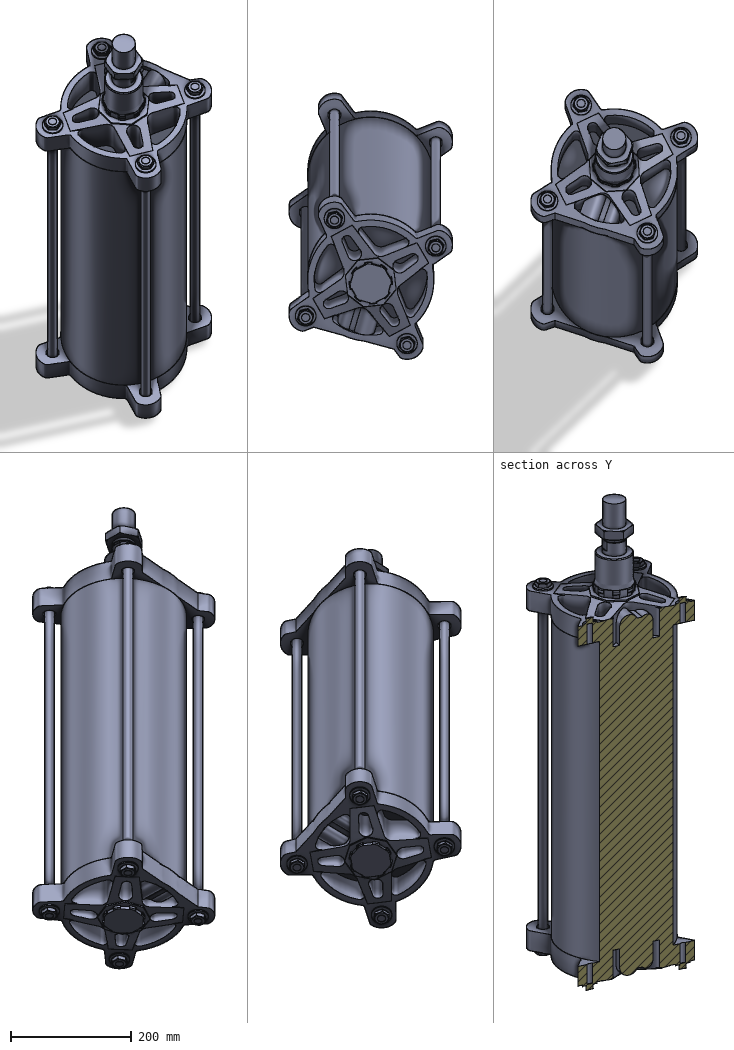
import cadquery as cq
import math


MIDDLE_Z = 346.0
INNER_FACE = 293.0
OUTER_FACE = 329.0

DISC_DIAMETER = 210.0
DISC_RADIUS = DISC_DIAMETER / 2
BARREL_DIAMETER = 209.0
PORT_FLAT_Y = 103.0

OVERALL_WIDTH = 230
LUG_DIAMETER = 55.5
LUG_RADIUS = LUG_DIAMETER / 2
TIE_OFFSET = OVERALL_WIDTH / 2 - LUG_RADIUS
LUG_TIP_WIDTH = 43.5
LUG_TIP_HALF_WIDTH = LUG_TIP_WIDTH / 2
LUG_ROOT_HALF_WIDTH = 26.5
LUG_TIP_FILLET = 10.0
LUG_ROOT_FILLET = 4.0
TIE_ROD_DIAMETER = 16.0
TIE_HOLE_DIAMETER = 21.0
TIE_WASHER_DIAMETER = 34.0
TIE_WASHER_THICKNESS = 2.5
TIE_NUT_ACROSS_FLATS = 24.0
TIE_NUT_TOP = 340.0
TIE_NUT_CHAMFER = 2.5
TIE_TIP_DIAMETER = 14.0
TIE_TIP_HEIGHT = 1.0

ARM_REACH = 99.0
CONE_RADIUS = 101.5
PLINTH_SIDES = 8
PLINTH_ACROSS_FLATS = 81.0
CONE_TOP = 338.0
PLINTH_TOP = 340.0
POCKET_APEX = 43.0
POCKET_HALF_ANGLE = math.radians(53.4)
POCKET_APEX_FILLET = 15.0
POCKET_CORNER_FILLET = 8.0
POCKET_RADIUS = 94.0
POCKET_DEPTH = 51.0
SLOT_INNER_DISTANCE = 55.5
SLOT_INNER_WIDTH = 23.0
SLOT_INNER_RADIUS = SLOT_INNER_WIDTH / 2
SLOT_OUTER_DISTANCE = 80.0
SLOT_OUTER_RADIUS = 8.5

PORT_DIAMETER = 36.0
PORT_X = 14.0
CUSHION_DIAMETER = 24.0
CUSHION_X = -20.0
BOSS_AXIS = 312.0
BOSS_WEB_RISE = 8.5

COLLAR_DIAMETER = 72.0
COLLAR_HEIGHT_TOP = 355.0
COLLAR_HEIGHT_BOTTOM = MIDDLE_Z
COLLAR_THICKNESS = 8.0
COLLAR_NECK_DIAMETER = 68.0
COLLAR_CHAMFER = 2.0
NOTCH_COUNT = 8
NOTCH_WIDTH = 15.0
NOTCH_DEPTH = 3.0

GUIDE_DIAMETER = 64.0
GUIDE_FOOT_DIAMETER = 68.0
GUIDE_FOOT_Z = MIDDLE_Z + COLLAR_HEIGHT_TOP
GUIDE_FOOT_HEIGHT = 8.0
GUIDE_TOP_Z = 757.5
GUIDE_CHAMFER = 2.0

ROD_DIAMETER = 40.0
THREAD_DIAMETER = 38.0
ROD_SEAT_Z = MIDDLE_Z + INNER_FACE
ROD_TOP_Z = 853
ROD_GROOVE_DIAMETER = 36.0
ROD_GROOVE_BOTTOM_Z = 781.0
ROD_GROOVE_WIDTH = 4.0
ROD_FLATS_WIDTH = 37.0
ROD_FLATS_BOTTOM_Z = 765.0

NUT_ACROSS_FLATS = 55.5
NUT_BOTTOM_Z = 791.0
NUT_TOP_Z = 807.0
NUT_CHAMFER = 2.5

QUARTER_TURNS = (0, 90, 180, 270)
DIAGONALS = (45, 135, 225, 315)
TIE_AXES = [(sx * TIE_OFFSET, sy * TIE_OFFSET, 0) for sx in (-1, 1) for sy in (-1, 1)]


def turned(shape, angle):
    return shape.rotate((0, 0, 0), (0, 0, 1), angle)


def cylinder(diameter, bottom, top):
    return cq.Workplane("XY").workplane(offset=bottom).circle(diameter / 2).extrude(top - bottom)


def hexagon(across_flats, bottom, top, chamfer):
    """Hexagonal prism with two flats facing X and its corners turned off at both ends."""
    corner_diameter = across_flats / math.cos(math.pi / 6)
    prism = (
        cq.Workplane("XY").workplane(offset=bottom)
        .polygon(6, corner_diameter).extrude(top - bottom)
    )
    round_bar = cylinder(corner_diameter, bottom, top).faces("<Z or >Z").chamfer(chamfer / 2, chamfer)
    return turned(prism, 30).intersect(round_bar)


def lug():
    """Lug along +X: a round end between two straight sides that spread towards the disc."""
    centre = TIE_OFFSET * math.sqrt(2)
    tip = centre + math.sqrt(LUG_RADIUS**2 - LUG_TIP_HALF_WIDTH**2)
    root = math.sqrt(DISC_RADIUS**2 - LUG_ROOT_HALF_WIDTH**2)
    return (
        cq.Workplane("XY").workplane(offset=INNER_FACE)
        .lineTo(root, -LUG_ROOT_HALF_WIDTH).lineTo(tip, -LUG_TIP_HALF_WIDTH)
        .threePointArc((centre + LUG_RADIUS, 0), (tip, LUG_TIP_HALF_WIDTH))
        .lineTo(root, LUG_ROOT_HALF_WIDTH).close()
        .extrude(OUTER_FACE - INNER_FACE)
        .edges("|Z").edges(">X").fillet(LUG_TIP_FILLET)
    )


def lugged_disc():
    """Disc with a lug on each diagonal and a wall that carries the port flat."""
    height = OUTER_FACE - INNER_FACE
    disc = cylinder(DISC_DIAMETER, INNER_FACE, OUTER_FACE)
    for angle in DIAGONALS:
        disc = disc.union(turned(lug(), angle))
    half_angle = math.asin(LUG_ROOT_HALF_WIDTH / DISC_RADIUS)
    for angle in DIAGONALS:
        for side in (-1, 1):
            direction = math.radians(angle) + side * half_angle
            root = (
                DISC_RADIUS * math.cos(direction),
                DISC_RADIUS * math.sin(direction),
                INNER_FACE + height / 2,
            )
            disc = disc.edges(cq.NearestToPointSelector(root)).fillet(LUG_ROOT_FILLET)
    wall = (
        cq.Workplane("XY").workplane(offset=INNER_FACE)
        .center(0, PORT_FLAT_Y / 2).rect(2 * TIE_OFFSET, PORT_FLAT_Y).extrude(height)
    )
    return disc.union(wall)


def pocket_wedge(bottom, top):
    """Wedge opening towards +Y between two arms, with a rounded apex."""
    reach = DISC_DIAMETER
    half_width = (reach - POCKET_APEX) * math.tan(POCKET_HALF_ANGLE)
    return (
        cq.Workplane("XY").workplane(offset=bottom)
        .polyline([(0, POCKET_APEX), (half_width, reach), (-half_width, reach)]).close()
        .extrude(top - bottom)
        .edges("|Z").edges("<Y").fillet(POCKET_APEX_FILLET)
    )


def pocket(bottom, top):
    rim = cylinder(2 * POCKET_RADIUS, bottom, top)
    return (
        pocket_wedge(bottom, top).intersect(rim)
        .edges("|Z").edges("<X or >X").fillet(POCKET_CORNER_FILLET)
    )


def arm_slot(bottom, top):
    """Slot along +X narrowing outwards, with a round at each end."""
    length = SLOT_OUTER_DISTANCE - SLOT_INNER_DISTANCE
    sine = (SLOT_INNER_RADIUS - SLOT_OUTER_RADIUS) / length
    cosine = math.sqrt(1 - sine**2)
    inner = (SLOT_INNER_DISTANCE + SLOT_INNER_RADIUS * sine, SLOT_INNER_RADIUS * cosine)
    outer = (SLOT_OUTER_DISTANCE + SLOT_OUTER_RADIUS * sine, SLOT_OUTER_RADIUS * cosine)
    return (
        cq.Workplane("XY").workplane(offset=bottom)
        .moveTo(*inner).lineTo(*outer)
        .threePointArc((SLOT_OUTER_DISTANCE + SLOT_OUTER_RADIUS, 0), (outer[0], -outer[1]))
        .lineTo(inner[0], -inner[1])
        .threePointArc((SLOT_INNER_DISTANCE - SLOT_INNER_RADIUS, 0), inner)
        .close().extrude(top - bottom)
    )


def arm_cross():
    """Shallow cone trimmed to four diagonal arms that slope down to the disc."""
    cone = (
        cq.Workplane("XZ")
        .polyline([
            (0, INNER_FACE), (CONE_RADIUS, INNER_FACE), (CONE_RADIUS, OUTER_FACE),
            (PLINTH_ACROSS_FLATS / 2, CONE_TOP), (0, CONE_TOP),
        ]).close()
        .revolve(360, (0, 0, 0), (0, 1, 0))
    )
    square = (
        cq.Workplane("XY").workplane(offset=INNER_FACE)
        .rect(2 * ARM_REACH, 2 * ARM_REACH).extrude(CONE_TOP - INNER_FACE)
    )
    cross = cone.intersect(turned(square, 45))
    wedge = pocket_wedge(INNER_FACE, CONE_TOP)
    for angle in QUARTER_TURNS:
        cross = cross.cut(turned(wedge, angle))
    return cross


def collar(top):
    """Octagonal plinth and round neck carrying a collar, with radial notches round the edge."""
    shoulder = top - COLLAR_THICKNESS
    ring = cylinder(COLLAR_DIAMETER, shoulder, top).faces(">Z").edges().chamfer(COLLAR_CHAMFER)
    ring = ring.union(cylinder(COLLAR_NECK_DIAMETER, INNER_FACE, shoulder))
    notch = (
        cq.Workplane("XY").workplane(offset=PLINTH_TOP)
        .center(COLLAR_DIAMETER / 2, 0).rect(2 * NOTCH_DEPTH, NOTCH_WIDTH).extrude(top - PLINTH_TOP)
    )
    for index in range(NOTCH_COUNT):
        ring = ring.cut(turned(notch, index * 360 / NOTCH_COUNT))
    plinth = (
        cq.Workplane("XY").workplane(offset=INNER_FACE)
        .polygon(PLINTH_SIDES, PLINTH_ACROSS_FLATS, circumscribed=True).extrude(PLINTH_TOP - INNER_FACE)
    )
    return turned(plinth, 180 / PLINTH_SIDES).union(ring)


def port_bosses(floor):
    """Port and cushion bosses: rounds along Y on a common foot, joined by a web."""
    bosses = cq.Workplane("XY")
    length = DISC_RADIUS
    for x, diameter in ((PORT_X, PORT_DIAMETER), (CUSHION_X, CUSHION_DIAMETER)):
        boss = cq.Workplane("XZ").center(x, BOSS_AXIS).circle(diameter / 2).extrude(-length)
        bosses = bosses.union(boss)
    left = CUSHION_X - CUSHION_DIAMETER / 2
    right = PORT_X + PORT_DIAMETER / 2
    foot = cq.Workplane("XY").box(
        right - left, length, BOSS_AXIS - floor, centered=False
    ).translate((left, 0, floor))
    web = cq.Workplane("XY").box(
        PORT_X - CUSHION_X, length, BOSS_WEB_RISE, centered=False
    ).translate((CUSHION_X, 0, BOSS_AXIS))
    return bosses.union(foot).union(web)


def end_openings():
    """Pockets, arm slots and tie rod holes of the upper cover."""
    floor = OUTER_FACE - POCKET_DEPTH
    openings = [turned(pocket(floor, CONE_TOP), angle) for angle in QUARTER_TURNS]
    openings += [turned(arm_slot(floor, CONE_TOP), angle) for angle in DIAGONALS]
    tie_hole = cylinder(TIE_HOLE_DIAMETER, INNER_FACE, OUTER_FACE)
    openings += [tie_hole.translate(axis) for axis in TIE_AXES]
    return openings


def end_fittings(collar_top):
    """Bosses and collar of the upper cover, which stand where its openings have been cut."""
    floor = OUTER_FACE - POCKET_DEPTH
    return [port_bosses(floor).intersect(pocket(floor, CONE_TOP)), collar(collar_top)]


def tie_end():
    """Washer, nut and thinner tip at the upper end of a tie rod."""
    seat = OUTER_FACE + TIE_WASHER_THICKNESS
    washer = cylinder(TIE_WASHER_DIAMETER, OUTER_FACE, seat)
    nut = hexagon(TIE_NUT_ACROSS_FLATS, seat, TIE_NUT_TOP, TIE_NUT_CHAMFER)
    tip = cylinder(TIE_TIP_DIAMETER, seat, TIE_NUT_TOP + TIE_TIP_HEIGHT)
    return washer.union(nut).union(tip)


def tie_rod(axis):
    """Tie rod with nutted ends, centred on the middle of the housing."""
    rod = cylinder(TIE_ROD_DIAMETER, -OUTER_FACE, OUTER_FACE)
    end = tie_end()
    return rod.union(end).union(end.mirror("XY")).translate(axis)


def rod_guide():
    """Sleeve on the top collar, with a flared foot."""
    foot_top = GUIDE_FOOT_Z + GUIDE_FOOT_HEIGHT
    foot = (
        cq.Workplane("XY").workplane(offset=GUIDE_FOOT_Z).circle(GUIDE_FOOT_DIAMETER / 2)
        .workplane(offset=GUIDE_FOOT_HEIGHT).circle(GUIDE_DIAMETER / 2).loft()
    )
    sleeve = cylinder(GUIDE_DIAMETER, foot_top, GUIDE_TOP_Z)
    return foot.union(sleeve.faces(">Z").edges().chamfer(GUIDE_CHAMFER))


def make_housing():
    """Barrel with mirrored end covers, four tie rods and the bored rod guide, as one solid."""
    body = cylinder(BARREL_DIAMETER, -INNER_FACE, INNER_FACE)
    cover = lugged_disc().union(arm_cross())
    body = body.union(cover).union(cover.mirror("XY"))
    for opening in end_openings():
        body = body.cut(opening).cut(opening.mirror("XY"))
    for fitting in end_fittings(COLLAR_HEIGHT_TOP):
        body = body.union(fitting)
    for fitting in end_fittings(COLLAR_HEIGHT_BOTTOM):
        body = body.union(fitting.mirror("XY"))
    for axis in TIE_AXES:
        body = body.union(tie_rod(axis))
    body = body.translate((0, 0, MIDDLE_Z)).union(rod_guide())
    return body.cut(cylinder(ROD_DIAMETER, ROD_SEAT_Z, GUIDE_TOP_Z))


def make_piston_rod():
    """Shank with two wrench flats, a neck groove and a threaded end shown as a plain cylinder."""
    shank = cylinder(ROD_DIAMETER, ROD_SEAT_Z, ROD_GROOVE_BOTTOM_Z)
    groove_top = ROD_GROOVE_BOTTOM_Z + ROD_GROOVE_WIDTH
    neck = cylinder(ROD_GROOVE_DIAMETER, ROD_GROOVE_BOTTOM_Z, groove_top)
    thread = cylinder(THREAD_DIAMETER, groove_top, ROD_TOP_Z)
    flats = (
        cq.Workplane("XY").workplane(offset=ROD_FLATS_BOTTOM_Z)
        .rect(2 * ROD_DIAMETER, 2 * ROD_DIAMETER).rect(ROD_FLATS_WIDTH, 2 * ROD_DIAMETER)
        .extrude(ROD_GROOVE_BOTTOM_Z - ROD_FLATS_BOTTOM_Z)
    )
    return shank.cut(flats).union(neck).union(thread)


def make_lock_nut():
    """Hexagonal nut on the threaded end."""
    nut = hexagon(NUT_ACROSS_FLATS, NUT_BOTTOM_Z, NUT_TOP_Z, NUT_CHAMFER)
    return nut.cut(cylinder(THREAD_DIAMETER, NUT_BOTTOM_Z, NUT_TOP_Z))


housing = make_housing()
piston_rod = make_piston_rod()
lock_nut = make_lock_nut()

result = cq.Compound.makeCompound([housing.val(), piston_rod.val(), lock_nut.val()])